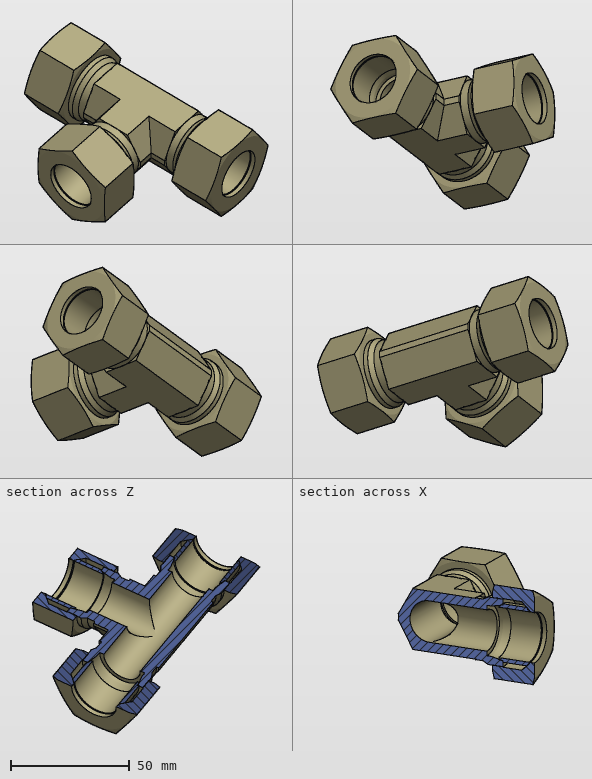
import cadquery as cq
import math


reach = 50.0
tube_radius = 11.0
bore_radius = 9.0

block_across_flats = 27.0
block_width = 29.5
block_reach = 22.0
neck_radius = 13.7
neck_end = 25.6
thread_radius = 15.0
thread_flank_angle = 30.0
tee_face = 35.0
tube_stop = 27.5
mouth_radius = 12.2
mouth_half_angle = 12.0

nut_across_flats = 36.0
nut_length = 20.0
nut_chamfer_radius = 17.8
nut_chamfer_angle = 15.0
nut_lip = 2.1

ring_radius = 13.0
ring_back_width = 0.5
ring_tip = 33.0

corner_to_flat = 1 / math.cos(math.radians(30))
thread_start = neck_end + (thread_radius - neck_radius) / math.tan(math.radians(thread_flank_angle))
mouth_slope = math.tan(math.radians(mouth_half_angle))
mouth_end = tee_face - (mouth_radius - tube_radius) / mouth_slope
nut_start = reach - nut_length
nut_corner_radius = nut_across_flats / 2 * corner_to_flat
seat_end = reach - nut_lip
seat_start = seat_end - (thread_radius - tube_radius)
ring_back = seat_end - ring_back_width
ring_shoulder = seat_end - (ring_radius - tube_radius)
ring_tip_radius = mouth_radius - (tee_face - ring_tip) * mouth_slope

BRANCH_ANGLE = -90
BRANCH_NUT_ROLL = 90
ARMS = [(0, 0), (180, 0), (BRANCH_ANGLE, BRANCH_NUT_ROLL)]


def revolve_about_x(points):
    """Turn a closed outline of (x, radius) points about the X axis."""
    return cq.Workplane("XY").polyline(points).close().revolve(360, (0, 0, 0), (1, 0, 0))


def hexagon_bar(across_flats, start, end):
    """Hexagonal bar along X with flats facing up and down and corners at +Y and -Y."""
    corner_diameter = across_flats * corner_to_flat
    return cq.Workplane("YZ").workplane(offset=start).polygon(6, corner_diameter).extrude(end - start)


def swing(body, angle):
    """Turn a body about the Z axis."""
    return body.rotate((0, 0, 0), (0, 0, 1), angle)


def make_block_bar(start, end):
    """Hexagonal bar with its side corners cut off."""
    end_plane = cq.Workplane("YZ").workplane(offset=start)
    trim = end_plane.rect(block_width, block_across_flats).extrude(end - start)
    return hexagon_bar(block_across_flats, start, end).intersect(trim)


def make_spigot():
    """Solid neck and threaded end of one arm, starting on the end face of the block."""
    return revolve_about_x([
        (block_reach, 0),
        (block_reach, neck_radius),
        (neck_end, neck_radius),
        (thread_start, thread_radius),
        (tee_face, thread_radius),
        (tee_face, 0),
    ])


def make_passage():
    """Bore, tube socket and tapered mouth of one arm."""
    return revolve_about_x([
        (0, 0),
        (0, bore_radius),
        (tube_stop, bore_radius),
        (tube_stop, tube_radius),
        (mouth_end, tube_radius),
        (tee_face, mouth_radius),
        (tee_face, 0),
    ])


def make_tee():
    """Forged block with three threaded ends, bored through along all three arms."""
    tee = make_block_bar(-block_reach, block_reach)
    tee = tee.union(swing(make_block_bar(0, block_reach), BRANCH_ANGLE))
    for angle, _ in ARMS:
        tee = tee.union(swing(make_spigot(), angle))
    for angle, _ in ARMS:
        tee = tee.cut(swing(make_passage(), angle))
    return tee


def make_nut():
    """Hexagonal nut, chamfered at both ends, with a tapered seat for the cutting ring."""
    chamfer_depth = (nut_corner_radius - nut_chamfer_radius) * math.tan(math.radians(nut_chamfer_angle))
    chamfered_envelope = revolve_about_x([
        (nut_start, 0),
        (nut_start, nut_chamfer_radius),
        (nut_start + chamfer_depth, nut_corner_radius),
        (reach - chamfer_depth, nut_corner_radius),
        (reach, nut_chamfer_radius),
        (reach, 0),
    ])
    opening = revolve_about_x([
        (nut_start, 0),
        (nut_start, thread_radius),
        (seat_start, thread_radius),
        (seat_end, tube_radius),
        (reach, tube_radius),
        (reach, 0),
    ])
    return hexagon_bar(nut_across_flats, nut_start, reach).intersect(chamfered_envelope).cut(opening)


def make_ring():
    """Cutting ring held between the nut seat and the tapered mouth of the tee."""
    return revolve_about_x([
        (ring_tip, tube_radius),
        (ring_tip, ring_tip_radius),
        (tee_face, mouth_radius),
        (tee_face, ring_radius),
        (ring_shoulder, ring_radius),
        (ring_back, tube_radius + ring_back_width),
        (ring_back, tube_radius),
    ])


tee = make_tee()
nuts = []
rings = []
for angle, roll in ARMS:
    nuts.append(swing(make_nut().rotate((0, 0, 0), (1, 0, 0), roll), angle))
    rings.append(swing(make_ring(), angle))

result = cq.Compound.makeCompound([
    tee.val(),
    *[nut.val() for nut in nuts],
    *[ring.val() for ring in rings],
])